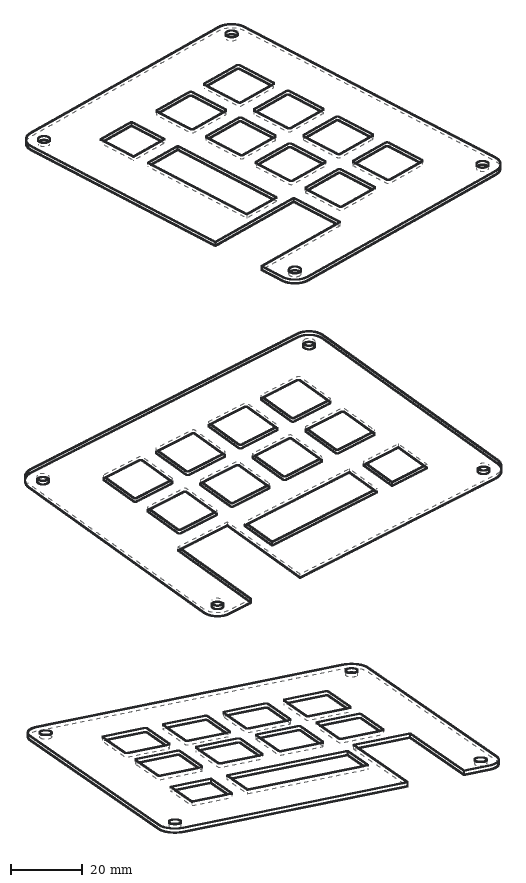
import cadquery as cq

length = 106.7
width = 85.3
thickness = 1.3
corner_radius = 5.0

screw_diameter = 3.4
screw_spacing_x = length - 2 * corner_radius
screw_spacing_y = width - 2 * corner_radius

key_columns = 4
key_rows = 2
key_pitch = 19.1
key_size = 14.0
key_corner_radius = 0.5
key_grid_x = -0.4
key_grid_y = 11.0

window_top = -14.3
square_left = -37.0
square_length = 12.7
square_height = 12.4
slot_left = -19.2
slot_length = 38.1
slot_height = 12.0

notch_left = 22.5
notch_length = 17.8
notch_top = -11.2
notch_height = notch_top + width / 2


def rectangular_cutter(left, top, size_x, size_y):
    """Block through the plate, placed by its top-left corner."""
    return (
        cq.Workplane("XY")
        .box(size_x, size_y, thickness, centered=False)
        .translate((left, top - size_y, 0))
    )


plate = (
    cq.Workplane("XY")
    .box(length, width, thickness, centered=(True, True, False))
    .edges("|Z")
    .fillet(corner_radius)
)

screw_holes = (
    cq.Workplane("XY")
    .rarray(screw_spacing_x, screw_spacing_y, 2, 2)
    .circle(screw_diameter / 2)
    .extrude(thickness)
)

key_openings = (
    cq.Workplane("XY")
    .center(key_grid_x, key_grid_y)
    .rarray(key_pitch, key_pitch, key_columns, key_rows)
    .rect(key_size, key_size)
    .extrude(thickness)
    .edges("|Z")
    .fillet(key_corner_radius)
)

square_window = rectangular_cutter(square_left, window_top, square_length, square_height)
slot_window = rectangular_cutter(slot_left, window_top, slot_length, slot_height)
notch = rectangular_cutter(notch_left, notch_top, notch_length, notch_height)

result = plate
for cutter in (screw_holes, key_openings, square_window, slot_window, notch):
    result = result.cut(cutter)